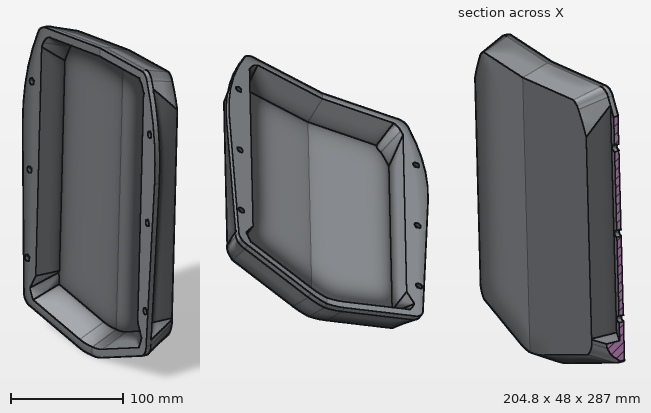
import cadquery as cq

height = 287.0
half_width = 102.2
widest_z = 189.5

top_edge_x = 73.8
top_corner_mid_x, top_corner_mid_z = 80.6, 285.0
top_corner_end_x, top_corner_end_z = 84.5, 280.0
shoulder_mid_x, shoulder_mid_z = 97.3, 242.5
low_corner_start_x, low_corner_start_z = 94.7, 36.2
low_corner_mid_x, low_corner_mid_z = 92.0, 28.0
low_corner_end_x, low_corner_end_z = 85.5, 24.0
nose_half_width = 17.2
nose_rise = 2.67
nose_slope = (low_corner_end_z - nose_rise) / (low_corner_end_x - nose_half_width)

front_y = 7.5
tilt = 0.03
side_slope = 0.09
flange_thickness = 5.2
tray_depth = 32.1
floor_thickness = 6.3

top_draft = 8.0
side_draft = 7.0
bottom_draft = 14.0

rim = 7.7
bottom_rim = 8.0

pocket_half_width = 79.0
wall = 8.5
flare_z = 54.0
flare_slope = 0.57

hole_diameter = 6.0
hole_x = 91.3
lowest_hole_z = 67.7
hole_pitch = 82.5
hole_count = 3


def on_slope(x, z, depth):
    """Point at a depth behind the sloping front plane of the right half."""
    return cq.Vector(x, front_y + tilt * z - side_slope * x + depth, z)


def half_outline(depth, top=0.0, side=0.0, bottom=0.0):
    """Closed outline of the right half, moved inwards by the given amounts."""
    def point(x, z):
        return on_slope(x, z, depth)

    top_z = height - top
    low_corner_rise = 0.95 * bottom
    half_side = side / 2
    top_centre = point(0, top_z)
    top_corner_start = point(top_edge_x - half_side, top_z)
    top_corner_middle = point(top_corner_mid_x - side, top_corner_mid_z - top)
    top_corner_end = point(top_corner_end_x - side, top_corner_end_z - top)
    shoulder_middle = point(shoulder_mid_x - side, shoulder_mid_z - top / 2)
    widest = point(half_width - side, widest_z)
    low_corner_start = point(low_corner_start_x - side, low_corner_start_z + low_corner_rise)
    low_corner_middle = point(low_corner_mid_x - side, low_corner_mid_z + low_corner_rise)
    low_corner_end = point(low_corner_end_x - half_side, low_corner_end_z + bottom - nose_slope * half_side)
    nose_start = point(nose_half_width, nose_rise + bottom)
    nose_middle = point(nose_half_width / 2, nose_rise / 4 + bottom)
    nose_tip = point(0, bottom)

    line = cq.Edge.makeLine
    arc = cq.Edge.makeThreePointArc
    return cq.Wire.assembleEdges([
        line(top_centre, top_corner_start),
        arc(top_corner_start, top_corner_middle, top_corner_end),
        arc(top_corner_end, shoulder_middle, widest),
        line(widest, low_corner_start),
        arc(low_corner_start, low_corner_middle, low_corner_end),
        line(low_corner_end, nose_start),
        arc(nose_start, nose_middle, nose_tip),
        line(nose_tip, top_centre),
    ])


def ruled_solid(front, back):
    return cq.Workplane(cq.Solid.makeLoft([front, back], True))


def side_limit(side_x):
    """Block with a straight side that flares outwards below flare_z."""
    reach = height / 2
    flared_x = side_x + flare_slope * flare_z
    return (
        cq.Workplane("XZ")
        .polyline([(0, 0), (flared_x, 0), (side_x, flare_z), (side_x, height), (0, height)])
        .close()
        .extrude(reach, both=True)
    )


def half_flange():
    return ruled_solid(half_outline(0), half_outline(flange_thickness))


def half_body():
    tapered = ruled_solid(
        half_outline(flange_thickness),
        half_outline(tray_depth, top_draft, side_draft, bottom_draft),
    )
    return tapered.intersect(side_limit(pocket_half_width + wall))


def half_pocket():
    def section(depth):
        lean = depth / tray_depth
        return half_outline(
            depth,
            rim + top_draft * lean,
            rim + side_draft * lean,
            bottom_rim + bottom_draft * lean,
        )

    front_overshoot = 3.0
    tapered = ruled_solid(section(-front_overshoot), section(tray_depth - floor_thickness))
    return tapered.intersect(side_limit(pocket_half_width))


def half_holes():
    positions = [(hole_x, lowest_hole_z + i * hole_pitch) for i in range(hole_count)]
    return (
        cq.Workplane("XZ")
        .pushPoints(positions)
        .circle(hole_diameter / 2)
        .extrude(tray_depth, both=True)
    )


right_half = half_flange().union(half_body()).cut(half_pocket()).cut(half_holes())
result = right_half.union(right_half.mirror("YZ"))